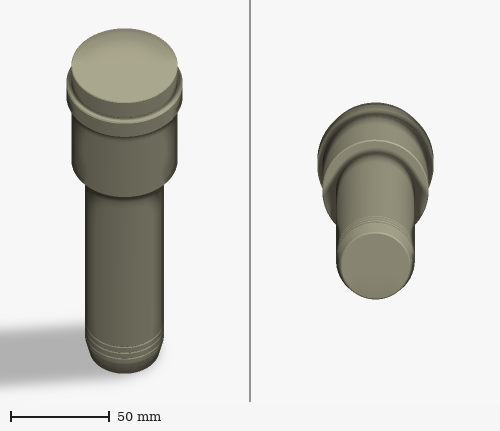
import cadquery as cq

total_length = 203.0
head_diameter = 54.0
collar_diameter = 59.0
shank_diameter = 40.0
tip_diameter = 35.7

head_radius = head_diameter / 2
collar_radius = collar_diameter / 2
shank_radius = shank_diameter / 2
tip_radius = tip_diameter / 2

taper_top = 10.0
shoulder_height = 135.0
collar_bottom = 181.0
collar_top = 191.0

rim_chamfer = 0.5
collar_chamfer = 0.6
shoulder_chamfer = 0.6
tip_chamfer = 0.6

groove_width = 1.0
groove_depth = 0.5
shank_groove_count = 3
shank_groove_pitch = 4.0
first_groove_height = 12.8


def revolved(profile):
    """Solid of revolution about the Z axis from (radius, height) points."""
    return cq.Workplane("XZ").polyline(profile).close().revolve(360, (0, 0), (0, 1))


def disc(radius, bottom, top):
    """Solid cylinder on the Z axis between two heights."""
    return cq.Workplane("XY").workplane(offset=bottom).circle(radius).extrude(top - bottom)


def groove_cutter(radius, bottom):
    """Ring that cuts a V-shaped groove into a cylinder, starting at the given height."""
    top = bottom + groove_width
    return revolved([
        (radius, bottom),
        (radius + groove_depth, bottom),
        (radius + groove_depth, top),
        (radius, top),
        (radius - groove_depth, (bottom + top) / 2),
    ])


def shank():
    """Shank with a tapered lead-in, evenly spaced grooves and one under the shoulder."""
    body = revolved([
        (0, 0),
        (tip_radius - tip_chamfer, 0),
        (tip_radius, tip_chamfer),
        (shank_radius, taper_top),
        (shank_radius, shoulder_height),
        (0, shoulder_height),
    ])
    for index in range(shank_groove_count):
        bottom = first_groove_height + index * shank_groove_pitch
        body = body.cut(groove_cutter(shank_radius, bottom))
    return body.cut(groove_cutter(shank_radius, shoulder_height - groove_width))


def head():
    """Head cylinder with chamfered rims and a groove on each side of the collar."""
    body = disc(head_radius, shoulder_height, total_length)
    body = body.faces("<Z").chamfer(shoulder_chamfer)
    body = body.faces(">Z").chamfer(rim_chamfer)
    for bottom in (collar_bottom - groove_width, collar_top):
        body = body.cut(groove_cutter(head_radius, bottom))
    return body


def collar():
    """Collar around the head with a chamfered upper rim."""
    return disc(collar_radius, collar_bottom, collar_top).faces(">Z").chamfer(collar_chamfer)


result = shank().union(head()).union(collar()).solids()